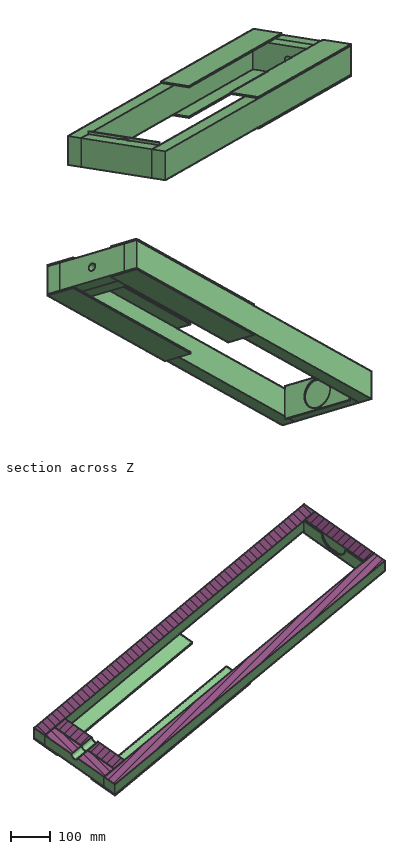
import cadquery as cq

FRAME_LENGTH = 1000.0
FRAME_WIDTH = 276.0
TIMBER_THICKNESS = 38.0
TIMBER_HEIGHT = 2 * TIMBER_THICKNESS
INNER_WIDTH = FRAME_WIDTH - 2 * TIMBER_THICKNESS

STRIP_LENGTH = FRAME_LENGTH / 2
STRIP_WIDTH = 80.0
STRIP_THICKNESS = 4.0

PLATE_HEIGHT = 90.0
PLATE_THICKNESS = 4.0
PLATE_HOLE_DIAMETER = 80.0

HOLE_DIAMETER = 20.0

FRONT_Y = -FRAME_LENGTH / 2
REAR_Y = FRAME_LENGTH / 2


def make_rail(side):
    """Full-length side timber; side is -1 for left and +1 for right."""
    x = side * (FRAME_WIDTH - TIMBER_THICKNESS) / 2
    return cq.Workplane("XY").box(TIMBER_THICKNESS, FRAME_LENGTH, TIMBER_HEIGHT).translate((x, 0, 0))


def make_crosspiece(front_face_y):
    """Timber that fits between the rails, with its front face at the given Y."""
    y = front_face_y + TIMBER_THICKNESS / 2
    return cq.Workplane("XY").box(INNER_WIDTH, TIMBER_THICKNESS, TIMBER_HEIGHT).translate((0, y, 0))


def make_rear_crosspiece(front_face_y):
    """Crosspiece with a central hole along Y."""
    return make_crosspiece(front_face_y).faces("<Y").workplane(centerOption="CenterOfMass").hole(HOLE_DIAMETER)


def make_strip(side, level):
    """Flat strip flush with a rail's outer side; level is +1 above and -1 below."""
    x = side * (FRAME_WIDTH - STRIP_WIDTH) / 2
    y = REAR_Y - STRIP_LENGTH / 2
    z = level * (TIMBER_HEIGHT + STRIP_THICKNESS) / 2
    return cq.Workplane("XY").box(STRIP_WIDTH, STRIP_LENGTH, STRIP_THICKNESS).translate((x, y, z))


def make_plate():
    """Thin plate that is taller than the timber, with a large central hole along Y."""
    y = FRONT_Y + TIMBER_THICKNESS + PLATE_THICKNESS / 2
    plate = cq.Workplane("XY").box(INNER_WIDTH, PLATE_THICKNESS, PLATE_HEIGHT)
    return plate.faces("<Y").workplane().hole(PLATE_HOLE_DIAMETER).translate((0, y, 0))


SIDES = (-1, 1)
LEVELS = (-1, 1)

rails = [make_rail(side) for side in SIDES]
front_crosspiece = make_crosspiece(FRONT_Y)
rear_crosspieces = [make_rear_crosspiece(REAR_Y - count * TIMBER_THICKNESS) for count in (1, 2)]
strips = [make_strip(side, level) for side in SIDES for level in LEVELS]
plate = make_plate()

bodies = [*rails, front_crosspiece, *rear_crosspieces, *strips, plate]
result = cq.Compound.makeCompound([body.val() for body in bodies])